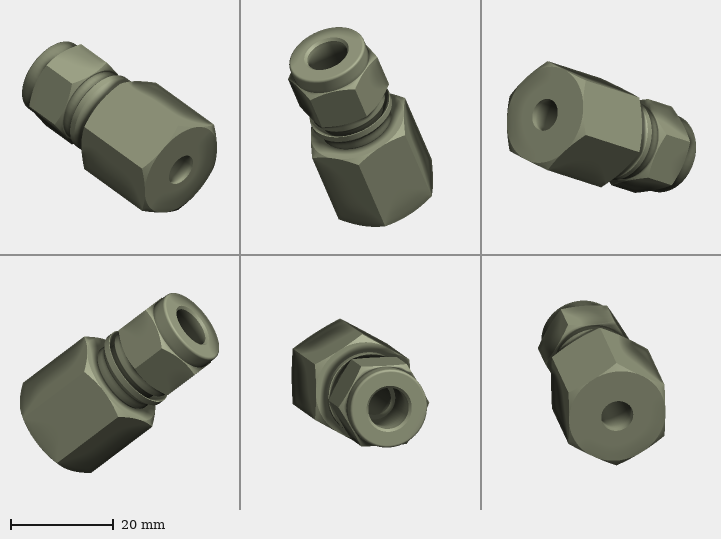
import cadquery as cq
import math

collar_end = 3.1
nut_hex_end = 12.0
nut_end = 14.0
ring_start = 14.65
core_start = 15.5
ring_end = 15.9
cone_end = 17.15
shoulder_end = 18.9
body_hex_start = 19.3
total_length = 37.57

collar_dia = 15.5
nut_tail_dia = 15.0
groove_dia = 12.7
core_dia = 12.47
ring_dia = 16.5
ring_rim = 0.2
shoulder_dia = 14.2
neck_dia = 13.6

nut_flats = 15.85
nut_bevel_dia = 15.63
body_flats = 19.05
body_bevel_dia = 19.12
bevel_slope = math.tan(math.radians(30))

collar_round = 0.5
tail_round = 0.23
bore_dia = 6.35
socket_dia = 8.15
socket_depth = 10.52
socket_chamfer = 0.5


def cylinder(start, end, diameter):
    """Solid round section along X."""
    return cq.Workplane("YZ", origin=(start, 0, 0)).circle(diameter / 2).extrude(end - start)


def frustum(start, end, start_dia, end_dia):
    """Solid conical section along X."""
    return (
        cq.Workplane("YZ", origin=(start, 0, 0))
        .circle(start_dia / 2)
        .workplane(offset=end - start)
        .circle(end_dia / 2)
        .loft()
    )


def bevelled_hex(start, end, flats, bevel_dia, turn):
    """Hexagonal prism along X with both ends turned down to a shallow cone."""
    corner_dia = flats / math.cos(math.radians(30))
    outer_radius = corner_dia / 2 + 0.38
    bevel_radius = bevel_dia / 2
    bevel_length = (outer_radius - bevel_radius) * bevel_slope
    prism = (
        cq.Workplane("YZ", origin=(start, 0, 0))
        .polygon(6, corner_dia)
        .extrude(end - start)
        .rotate((0, 0, 0), (1, 0, 0), turn)
    )
    envelope = (
        cq.Workplane("XY")
        .polyline([
            (start, 0),
            (start, bevel_radius),
            (start + bevel_length, outer_radius),
            (end - bevel_length, outer_radius),
            (end, bevel_radius),
            (end, 0),
        ])
        .close()
        .revolve(360, (0, 0, 0), (1, 0, 0))
    )
    return prism.intersect(envelope)


collar = cylinder(0, collar_end, collar_dia).faces("<X").edges().fillet(collar_round)
nut_hex = bevelled_hex(collar_end, nut_hex_end, nut_flats, nut_bevel_dia, 0)
nut_tail = cylinder(nut_hex_end, nut_end, nut_tail_dia).faces(">X").edges().fillet(tail_round)

groove = cylinder(nut_end, ring_start, groove_dia)
ring = cylinder(ring_start, ring_end, ring_dia)
cone = frustum(ring_end, cone_end, ring_dia, shoulder_dia)
shoulder = cylinder(cone_end, shoulder_end, shoulder_dia)
neck = cylinder(shoulder_end, body_hex_start, neck_dia)

body_hex = bevelled_hex(body_hex_start, total_length, body_flats, body_bevel_dia, 90)

result = collar
for section in (nut_hex, nut_tail, groove, ring, cone, shoulder, neck, body_hex):
    result = result.union(section)

dish_dia = ring_dia - 2 * ring_rim
dish_end = ring_start + (dish_dia - core_dia) / 2
dish = (
    frustum(ring_start, dish_end, dish_dia, core_dia)
    .cut(cylinder(ring_start, core_start, groove_dia))
    .cut(cylinder(core_start, dish_end, core_dia))
)
result = result.cut(dish)

bore = cylinder(0, total_length, bore_dia)
socket = cylinder(0, socket_depth, socket_dia)
entry_chamfer = frustum(0, socket_chamfer, socket_dia + 2 * socket_chamfer, socket_dia)
result = result.cut(bore).cut(socket).cut(entry_chamfer)